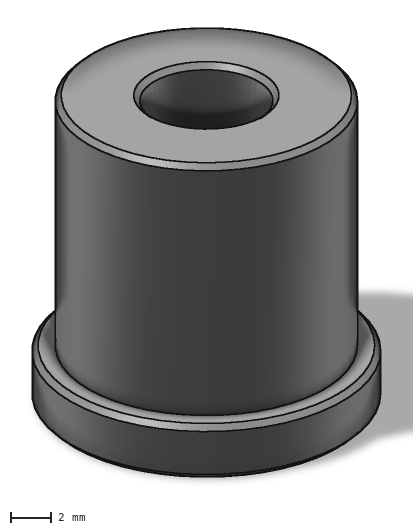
import cadquery as cq

total_height = 17.0
flange_height = 3.0
flange_diameter = 17.3
body_diameter = 15.0
bore_diameter = 6.6
edge_chamfer = 0.3


def chamfered_cylinder(diameter, height, chamfered_edges):
    """Cylinder standing on Z = 0 with the selected rims chamfered."""
    cylinder = cq.Workplane("XY").circle(diameter / 2).extrude(height)
    return cylinder.edges(chamfered_edges).chamfer(edge_chamfer)


def bore_cutter():
    """Through bore that widens into a chamfer at the top face."""
    bore_radius = bore_diameter / 2
    mouth_radius = bore_radius + edge_chamfer
    return (
        cq.Workplane("XZ")
        .lineTo(bore_radius, 0)
        .lineTo(bore_radius, total_height - edge_chamfer)
        .lineTo(mouth_radius, total_height)
        .lineTo(0, total_height)
        .close()
        .revolve(360, (0, 0, 0), (0, 1, 0))
    )


flange = chamfered_cylinder(flange_diameter, flange_height, "%CIRCLE")
body = chamfered_cylinder(body_diameter, total_height, ">Z")

result = flange.union(body).cut(bore_cutter())